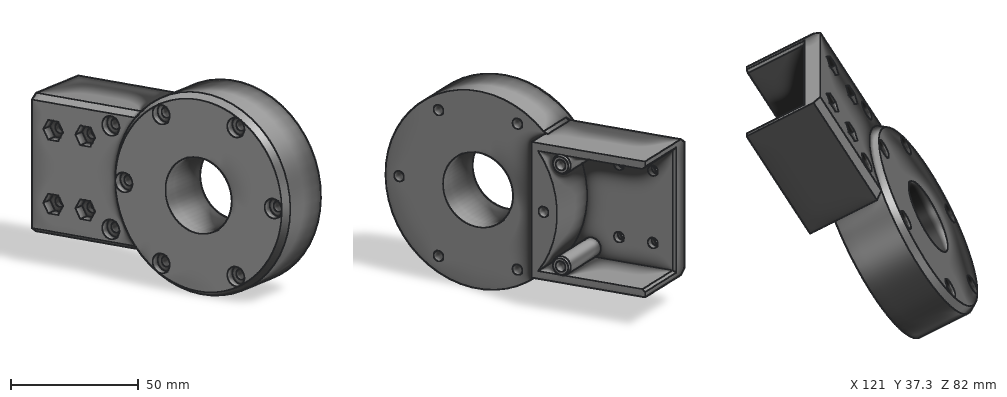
import cadquery as cq
import math


ring_diameter = 82.0
ring_radius = ring_diameter / 2
ring_depth = 25.0
bore_diameter = 31.0
rim_chamfer_depth = 3.0
rim_chamfer_width = 2.0

overall_length = 121.0
bracket_left = ring_radius - overall_length
bracket_front = rim_chamfer_depth
bracket_back = 36.3
bracket_height = 56.4
bracket_right = -math.sqrt(ring_radius**2 - (bracket_height / 2) ** 2)
floor_thickness = 8.0
floor_back = bracket_front + floor_thickness
wall_thickness = 3.3
edge_chamfer_depth = 3.0
edge_chamfer_width = 2.0
mouth_chamfer = 1.1

filler_left = -31.0
filler_right = -29.0

screw_diameter = 4.4
screw_head_diameter = 8.0
screw_head_depth = 3.6
screw_circle_radius = 35.0
screw_count = 6

post_diameter = 8.0
post_tip_diameter = 6.8
post_tip_length = 1.0
post_x = -43.1
post_z = 21.0
post_centers = [(post_x, post_z), (post_x, -post_z)]

nut_across_flats = 8.0
nut_depth = 4.8
nut_pitch = 15.0
nut_inset = 9.9
nut_z = 15.0
nut_columns = [bracket_left + nut_inset, bracket_left + nut_inset + nut_pitch]
nut_centers = [(x, z) for x in nut_columns for z in (nut_z, -nut_z)]


def face_at(y):
    """Sketch plane at the given Y, with extrusions running toward +Y and local y along -Z."""
    return cq.Workplane(cq.Plane(origin=(0, y, 0), xDir=(1, 0, 0), normal=(0, 1, 0)))


def cylinder(diameter, front, back, centers=((0, 0),)):
    return face_at(front).pushPoints(centers).circle(diameter / 2).extrude(back - front)


def make_ring():
    profile = [
        (0, 0),
        (ring_radius - rim_chamfer_width, 0),
        (ring_radius, rim_chamfer_depth),
        (ring_radius, ring_depth),
        (0, ring_depth),
    ]
    return cq.Workplane("XY").polyline(profile).close().revolve(360, (0, 0, 0), (0, 1, 0))


def make_bracket():
    half_height = bracket_height / 2
    shoulder = bracket_front + edge_chamfer_depth
    section = [
        (bracket_front, half_height - edge_chamfer_width),
        (shoulder, half_height),
        (bracket_back, half_height),
        (bracket_back, -half_height),
        (shoulder, -half_height),
        (bracket_front, -half_height + edge_chamfer_width),
    ]
    block = (
        cq.Workplane("YZ", origin=(bracket_left, 0, 0))
        .polyline(section)
        .close()
        .extrude(bracket_right - bracket_left)
    )
    length = bracket_right - bracket_left
    inner_height = bracket_height - 2 * wall_thickness
    channel_depth = bracket_back - floor_back
    channel = cq.Workplane("XY").box(length, channel_depth, inner_height, centered=(False, False, True))
    channel = channel.translate((bracket_left, floor_back, 0))
    ring_envelope = cylinder(ring_diameter, bracket_front, bracket_back)
    return block.cut(channel.cut(ring_envelope)).cut(make_mouth_chamfer(inner_height))


def make_mouth_chamfer(inner_height):
    """Tapered lead-in around the open end of the channel."""
    back = bracket_back + mouth_chamfer
    middle_y = (floor_back + back) / 2
    depth = back - floor_back
    return (
        cq.Workplane("YZ", origin=(bracket_left, middle_y, 0))
        .rect(depth + 2 * mouth_chamfer, inner_height + 2 * mouth_chamfer)
        .workplane(offset=mouth_chamfer)
        .rect(depth, inner_height)
        .loft(ruled=True)
    )


def make_posts():
    shafts = cylinder(post_diameter, floor_back, bracket_back, post_centers)
    tip_taper = math.degrees(math.atan2((post_diameter - post_tip_diameter) / 2, post_tip_length))
    tips = (
        face_at(bracket_back)
        .pushPoints(post_centers)
        .circle(post_diameter / 2)
        .extrude(post_tip_length, taper=tip_taper)
    )
    return shafts.union(tips)


def make_corner_filler():
    """Small sloped strip filling the corner between the bracket top and the ring."""
    bracket_top = bracket_height / 2
    ring_contact_z = math.sqrt(ring_radius**2 - filler_right**2)
    section = [
        (filler_left, bracket_top),
        (filler_right, ring_contact_z),
        (filler_right, bracket_top),
    ]
    filler_front = bracket_front + edge_chamfer_depth
    points = [(x, -z) for x, z in section]
    return face_at(filler_front).polyline(points).close().extrude(ring_depth - filler_front)


def make_screw_holes(centers, front, back):
    heads = cylinder(screw_head_diameter, front, front + screw_head_depth, centers)
    return heads.union(cylinder(screw_diameter, front, back, centers))


def make_nut_pockets():
    corner_diameter = nut_across_flats / math.cos(math.pi / 6)
    pockets = face_at(bracket_front).pushPoints(nut_centers).polygon(6, corner_diameter).extrude(nut_depth)
    return pockets.union(cylinder(screw_diameter, bracket_front, floor_back, nut_centers))


screw_angles = [2 * math.pi * i / screw_count for i in range(screw_count)]
ring_screw_centers = [
    (screw_circle_radius * math.cos(a), screw_circle_radius * math.sin(a)) for a in screw_angles
]
post_top = bracket_back + post_tip_length

body = make_ring().union(make_bracket()).union(make_corner_filler()).union(make_posts())
result = (
    body.cut(cylinder(bore_diameter, 0, bracket_back))
    .cut(make_screw_holes(ring_screw_centers, 0, bracket_back))
    .cut(make_screw_holes(post_centers, bracket_front, post_top))
    .cut(make_nut_pockets())
)